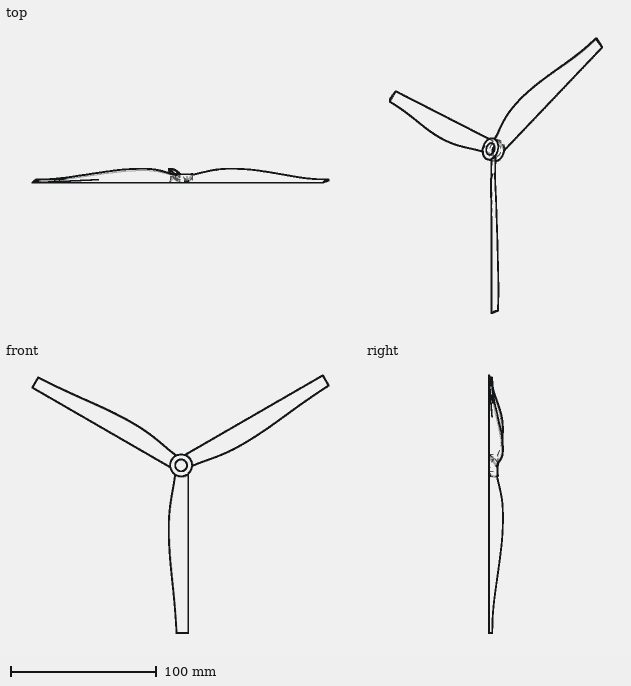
import cadquery as cq
import math

HUB_DIAMETER = 15.0
HUB_LENGTH = 6.0
BORE_DIAMETER = 8.0

BLADE_COUNT = 3
BLADE_PITCH_ANGLE = 360 / BLADE_COUNT
SEAM_ANGLE = BLADE_PITCH_ANGLE / 4
TRAILING_EDGE_OFFSET = 4.9
TRAILING_EDGE_THICKNESS = 0.15
ROOT_FILLET = 0.6
HUB_SPARE = 3.0
TOLERANCE = 0.01

BLADE_STATIONS = [
    (5.0, -4.1, 5.2),
    (12.0, -5.0, 6.3),
    (24.0, -7.1, 8.7),
    (37.0, -8.45, 9.27),
    (50.0, -8.5, 8.7),
    (65.0, -7.6, 7.0),
    (80.0, -6.1, 4.9),
    (98.0, -4.35, 2.5),
    (106.0, -3.75, 1.95),
    (115.0, -3.22, 1.75),
]

BACK_ARCH = [(0.65, 0.085), (0.33, 0.125), (0.10, 0.09)]
NOSE_DROP = 0.02
NOSE_BLEND = 0.05


def blade_section(nose_offset, nose_height):
    """Closed section wire in the local XY plane."""
    nose = cq.Vector(nose_offset, nose_height)
    trailing_front = cq.Vector(TRAILING_EDGE_OFFSET, 0)
    trailing_back = cq.Vector(TRAILING_EDGE_OFFSET, TRAILING_EDGE_THICKNESS)
    chord = trailing_front - nose
    rise = cq.Vector(-chord.y, chord.x)

    back = [nose + chord * along + rise * height for along, height in BACK_ARCH]
    blend = nose + chord * NOSE_BLEND - rise * NOSE_DROP
    start_slope = back[0] - trailing_back
    end_slope = trailing_front - blend
    curve = cq.Edge.makeSpline([trailing_back] + back + [nose, blend], tangents=[start_slope, end_slope])
    front = cq.Edge.makeLine(blend, trailing_front)
    edge = cq.Edge.makeLine(trailing_front, trailing_back)
    return cq.Wire.assembleEdges([curve, front, edge])


def make_blade():
    """Blade pointing along -Z."""
    sections = [
        blade_section(offset, height).translate(cq.Vector(0, 0, -radius))
        for radius, offset, height in BLADE_STATIONS
    ]
    return cq.Workplane(cq.Solid.makeLoft(sections))


def disc(diameter, start, end):
    """Cylinder around the Y axis from Y = start to Y = end, seam line clear of the blades."""
    cylinder = cq.Workplane("XZ", origin=(0, start, 0)).circle(diameter / 2).extrude(start - end)
    return cylinder.rotate((0, 0, 0), (0, 1, 0), SEAM_ANGLE)


def touches_hub_wall(edge):
    """True for the long curves along which a blade meets the hub wall."""
    if edge.geomType() != "BSPLINE" or edge.Length() < HUB_LENGTH:
        return False
    points = edge.positions([0, 0.5, 1])
    return all(abs(math.hypot(p.x, p.z) - HUB_DIAMETER / 2) < TOLERANCE for p in points)


def make_propeller():
    hub_front = -HUB_SPARE
    hub_back = HUB_LENGTH + HUB_SPARE
    body = disc(HUB_DIAMETER, hub_front, hub_back)
    blade = make_blade()
    for index in range(BLADE_COUNT):
        body = body.union(blade.rotate((0, 0, 0), (0, 1, 0), index * BLADE_PITCH_ANGLE))

    roots = [edge for edge in body.edges().vals() if touches_hub_wall(edge)]
    body = body.newObject(roots).fillet(ROOT_FILLET)

    body = body.cut(disc(2 * HUB_DIAMETER, hub_front, 0))
    body = body.cut(disc(HUB_DIAMETER, HUB_LENGTH, hub_back))
    body = body.cut(disc(BORE_DIAMETER, 0, HUB_LENGTH))
    return cq.Workplane(body.solids().val())


result = make_propeller()